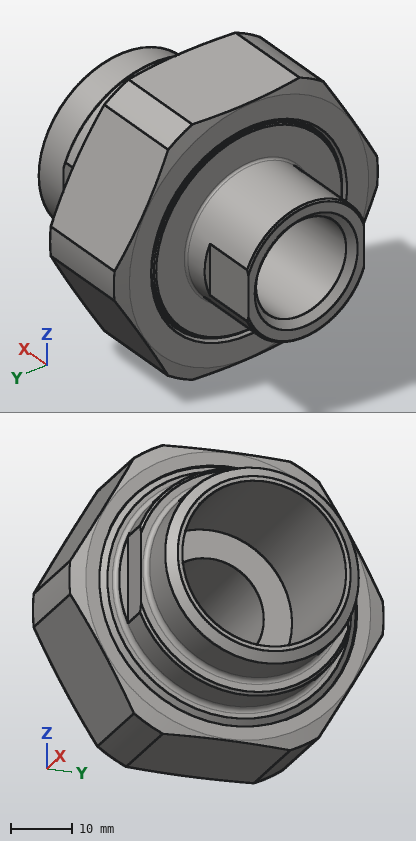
import cadquery as cq
import math


nut_start = 15.05
nut_end = 33.45
nut_across_flats = 50.0
nut_corner_diameter = 54.7
nut_face_diameter = 49.55
nut_chamfer_length = 0.8
nut_bore_diameter = 39.5
nut_bore_chamfer = 0.55
thread_diameter = 44.85
shoulder_x = 19.7

insert_diameter = 26.0
insert_bore_diameter = 18.65
insert_mouth_diameter = 21.3
insert_end_chamfer = 0.35
insert_root_fillet = 0.41
insert_collar_diameter = 39.0
insert_collar_chamfer = 0.3
insert_flange_diameter = 43.0
insert_flat_width = 23.95
insert_flat_length = 10.05

seat_x = 25.15
shoulder_face_x = 33.95
shoulder_face_diameter = 42.45
wrench_diameter = 39.0
wrench_end = 40.95
wrench_chamfer = 0.5
wrench_flat_width = 36.0
wrench_flat_start = 34.95
spigot_diameter = 33.7
tail_end = 50.0
weld_bevel_length = 1.05
weld_bevel_angle = 60.0
tail_bore_diameter = 28.5
tail_root_fillet = 0.9

flat_end_slope = 0.15


def revolve_about_x(profile):
    """Turn a closed profile of (x, radius) points around the X axis."""
    return profile.close().revolve(360, (0, 0, 0), (1, 0, 0))


def flat_cutters(flat_width, flat_x, outer_x, outer_diameter):
    """Two prisms that leave parallel flats facing +Y and -Y, from flat_x to outer_x."""
    flat_y = flat_width / 2
    outer_y = outer_diameter / 2
    step = math.copysign(flat_end_slope, flat_x - outer_x)
    cutter = (
        cq.Workplane("XY")
        .polyline([(flat_x, flat_y), (outer_x, flat_y), (outer_x, outer_y), (flat_x + step, outer_y)])
        .close()
        .extrude(outer_y, both=True)
    )
    return cutter.add(cutter.mirror("XZ")).combine()


def make_nut():
    length = nut_end - nut_start
    hexagon = (
        cq.Workplane(cq.Plane(origin=(nut_start, 0, 0), xDir=(0, 0, 1), normal=(1, 0, 0)))
        .polygon(6, nut_across_flats, circumscribed=True)
        .extrude(length)
    )
    face_r = nut_face_diameter / 2
    corner_r = nut_corner_diameter / 2
    envelope = revolve_about_x(
        cq.Workplane("XY")
        .moveTo(nut_start, 0)
        .lineTo(nut_start, face_r)
        .lineTo(nut_start + nut_chamfer_length, corner_r)
        .lineTo(nut_end - nut_chamfer_length, corner_r)
        .lineTo(nut_end, face_r)
        .lineTo(nut_end, 0)
    )
    bore_r = nut_bore_diameter / 2
    thread_r = thread_diameter / 2
    bore = revolve_about_x(
        cq.Workplane("XY")
        .moveTo(nut_start, 0)
        .lineTo(nut_start, bore_r + nut_bore_chamfer)
        .lineTo(nut_start + nut_bore_chamfer, bore_r)
        .lineTo(shoulder_x, bore_r)
        .lineTo(shoulder_x, thread_r)
        .lineTo(nut_end, thread_r)
        .lineTo(nut_end, 0)
    )
    return hexagon.intersect(envelope).cut(bore)


def make_insert():
    outer_r = insert_diameter / 2
    bore_r = insert_bore_diameter / 2
    mouth_r = insert_mouth_diameter / 2
    collar_r = insert_collar_diameter / 2
    flange_r = insert_flange_diameter / 2
    fillet = insert_root_fillet
    turned = (
        cq.Workplane("XY")
        .moveTo(mouth_r - bore_r, bore_r)
        .lineTo(0, mouth_r)
        .lineTo(0, outer_r - insert_end_chamfer)
        .lineTo(insert_end_chamfer, outer_r)
        .lineTo(nut_start - fillet, outer_r)
        .radiusArc((nut_start, outer_r + fillet), -fillet)
        .lineTo(nut_start, collar_r - insert_collar_chamfer)
        .lineTo(nut_start + insert_collar_chamfer, collar_r)
        .lineTo(shoulder_x, collar_r)
        .lineTo(shoulder_x, flange_r)
        .lineTo(seat_x, flange_r)
        .lineTo(seat_x, bore_r)
    )
    flats = flat_cutters(insert_flat_width, insert_flat_length, 0, insert_diameter)
    return revolve_about_x(turned).cut(flats)


def make_tail():
    thread_r = thread_diameter / 2
    face_r = shoulder_face_diameter / 2
    wrench_r = wrench_diameter / 2
    spigot_r = spigot_diameter / 2
    bore_r = tail_bore_diameter / 2
    fillet = tail_root_fillet
    bevel_height = weld_bevel_length * math.tan(math.radians(weld_bevel_angle))
    turned = (
        cq.Workplane("XY")
        .moveTo(seat_x, bore_r)
        .lineTo(seat_x, thread_r)
        .lineTo(shoulder_face_x - (thread_r - face_r), thread_r)
        .lineTo(shoulder_face_x, face_r)
        .lineTo(shoulder_face_x, wrench_r + fillet)
        .radiusArc((shoulder_face_x + fillet, wrench_r), -fillet)
        .lineTo(wrench_end - wrench_chamfer, wrench_r)
        .lineTo(wrench_end, wrench_r - wrench_chamfer)
        .lineTo(wrench_end, spigot_r + fillet)
        .radiusArc((wrench_end + fillet, spigot_r), -fillet)
        .lineTo(tail_end - weld_bevel_length, spigot_r)
        .lineTo(tail_end, spigot_r - bevel_height)
        .lineTo(tail_end, bore_r)
    )
    flats = flat_cutters(wrench_flat_width, wrench_flat_start, wrench_end, shoulder_face_diameter)
    return revolve_about_x(turned).cut(flats)


nut = make_nut()
insert = make_insert()
tail = make_tail()

result = cq.Compound.makeCompound([nut.val(), insert.val(), tail.val()])